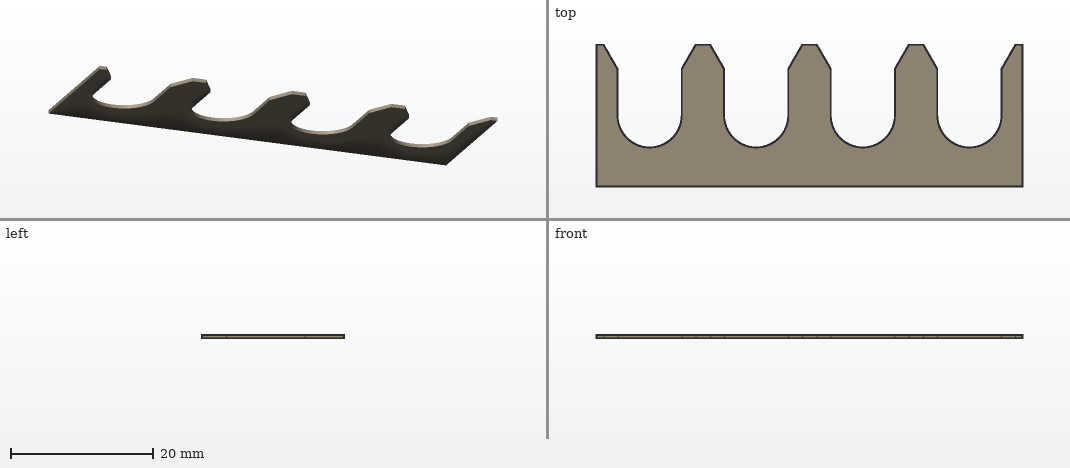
import cadquery as cq
import math

length = 60.0
depth = 20.0
thickness = 0.5

slot_count = 4
slot_pitch = length / slot_count
slot_width = 9.0
slot_radius = slot_width / 2
round_centre_height = 10.0

flare_width = 2.0
flare_angle = 60.0
flare_depth = flare_width * math.tan(math.radians(flare_angle))

back_y = -depth / 2
front_y = depth / 2
round_centre_y = back_y + round_centre_height


def slot_cutter(centre_x):
    """Round-ended slot that widens at the toothed edge."""
    left = centre_x - slot_radius
    right = centre_x + slot_radius
    flare_start_y = front_y - flare_depth
    return (
        cq.Workplane("XY")
        .workplane(offset=-thickness / 2)
        .moveTo(left - flare_width, front_y)
        .lineTo(left, flare_start_y)
        .lineTo(left, round_centre_y)
        .threePointArc((centre_x, round_centre_y - slot_radius), (right, round_centre_y))
        .lineTo(right, flare_start_y)
        .lineTo(right + flare_width, front_y)
        .close()
        .extrude(thickness)
    )


result = cq.Workplane("XY").box(length, depth, thickness)
for index in range(slot_count):
    slot_x = (index - (slot_count - 1) / 2) * slot_pitch
    result = result.cut(slot_cutter(slot_x))